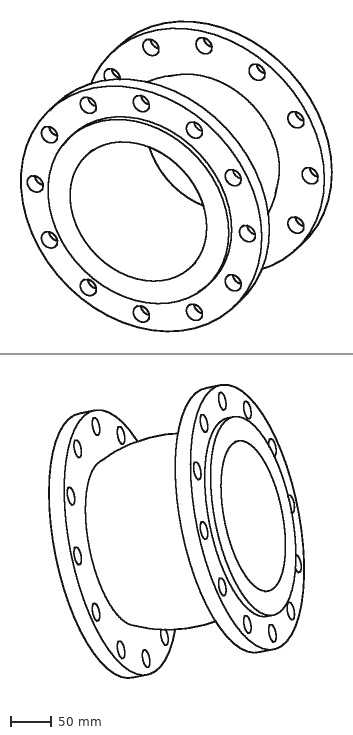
import cadquery as cq

overall_length = 210.0
bore_diameter = 190.0

flange_diameter = 335.0
flange_thickness = 21.0
raised_face_diameter = 251.33
raised_face_height = 8.0

bolt_count = 12
bolt_hole_diameter = 22.0
bolt_circle_diameter = 295.0

bulge_diameter = 242.5
neck_diameter = 210.0

full_turn = 360.0
half_length = overall_length / 2
flange_outer_y = half_length - raised_face_height
flange_inner_y = flange_outer_y - flange_thickness


def make_bulged_body():
    """Barrel with a circular-arc profile, turned about the Y axis."""
    neck_radius = neck_diameter / 2
    return (
        cq.Workplane("XY")
        .moveTo(0, -flange_inner_y)
        .lineTo(neck_radius, -flange_inner_y)
        .threePointArc((bulge_diameter / 2, 0), (neck_radius, flange_inner_y))
        .lineTo(0, flange_inner_y)
        .close()
        .revolve(full_turn, (0, 0, 0), (0, 1, 0))
    )


def make_flange():
    """Drilled flange with its raised face, at the -Y end."""
    flange_plane = cq.Workplane("XZ", origin=(0, -flange_inner_y, 0))
    flange = flange_plane.circle(flange_diameter / 2).extrude(flange_thickness)
    bolt_holes = (
        flange_plane.polarArray(bolt_circle_diameter / 2, 0, full_turn, bolt_count)
        .circle(bolt_hole_diameter / 2)
        .extrude(flange_thickness)
    )
    raised_face = (
        cq.Workplane("XZ", origin=(0, -flange_outer_y, 0))
        .circle(raised_face_diameter / 2)
        .extrude(raised_face_height)
    )
    return flange.cut(bolt_holes).union(raised_face)


def make_bore():
    """Straight bore through the whole length."""
    return (
        cq.Workplane("XZ", origin=(0, half_length, 0))
        .circle(bore_diameter / 2)
        .extrude(overall_length)
    )


near_flange = make_flange()
far_flange = near_flange.mirror("XZ")
result = make_bulged_body().union(near_flange).union(far_flange).cut(make_bore())